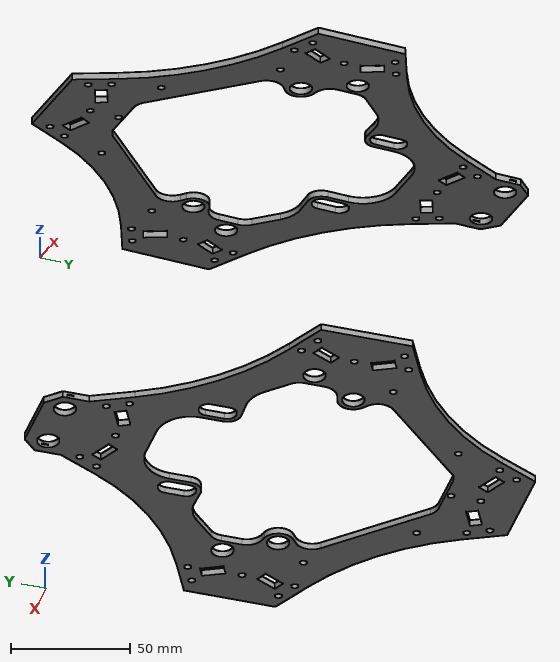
import cadquery as cq
import math

thickness = 3.0
arm_reach = 98.0
arm_half_width = 20.1
flank_slope = 0.5
flank_length = 17.3
plate_length = 214
tab_reach = plate_length - arm_reach
tab_chamfer = 6.5

screw_diameter = 3.0
arm_screws = [(0, 80.2), (19.0, 90.0), (-19.0, 90.0), (23.5, 81.3), (-23.5, 81.3)]
strap_slot_length = 10.0
strap_slot_width = 5.1
strap_slot_x = 12.6
strap_slot_y = 81.0
strap_slot_tilt = math.degrees(math.atan(flank_slope))

center_screw = (0, -67.2)
side_screws = [(29.7, -61.2), (64.2, -22.0)]
port_diameter = 9.5
boss_hole = (53.7, -7.7)
tab_port = (12.0, 106.1)
ports = [tab_port, (65.7, 13.0), boss_hole]
slit_width = 2.8
slit_height = 0.5
long_slot_x = 29.0
long_slot_y = 44.3
long_slot_length = 16.5
long_slot_width = 8.1
slot_end_y = long_slot_y - (long_slot_length - long_slot_width) / 2

opening_top = 64.6
opening_bottom = -64.8
opening_half_width = 59.3
shoulder_top = 34.2
side_bottom_y = 6.6
lower_round_y = -20.5
diagonal_offset = 78.0
large_round = 15.0
small_round = 7.5
boss_radius = 6.8
slot_wall_radius = 6.2


def mirrored(points):
    """Points together with their mirror images across the YZ plane."""
    return points + [(-x, y) for x, y in points]


def diagonal_x(y, radius):
    """X of a round at height y that touches the slanted side from inside."""
    return diagonal_offset - radius * math.sqrt(2) - abs(y)


def quarter_turns(solid):
    """The solid repeated at all four arms."""
    copies = solid
    for turn in (1, 2, 3):
        copies = copies.union(solid.rotate((0, 0, 0), (0, 0, 1), 90 * turn))
    return copies


def corner_cutout():
    """Material removed between the +X and +Y arms."""
    flank_x = arm_half_width + flank_slope * flank_length
    flank_y = arm_reach - flank_length
    half_angle = math.pi / 4 - math.atan(flank_slope)
    half_chord = (flank_y - flank_x) / math.sqrt(2)
    sagitta = half_chord * math.tan(half_angle / 2)
    arc_mid = (flank_x + flank_y) / 2 - sagitta / math.sqrt(2)
    return (
        cq.Workplane("XY")
        .moveTo(arm_half_width, arm_reach)
        .lineTo(flank_x, flank_y)
        .threePointArc((arc_mid, arc_mid), (flank_y, flank_x))
        .lineTo(arm_reach, arm_half_width)
        .lineTo(arm_reach, arm_reach)
        .close()
        .extrude(thickness)
    )


def plate():
    square = cq.Workplane("XY").rect(2 * arm_reach, 2 * arm_reach).extrude(thickness)
    arms = square.cut(quarter_turns(corner_cutout()))
    tab_root = arm_reach - arm_half_width
    tab = (
        cq.Workplane("XY")
        .rect(2 * arm_half_width, tab_reach - tab_root)
        .extrude(thickness)
        .edges("|Z and >Y")
        .chamfer(tab_chamfer)
        .translate((0, (tab_reach + tab_root) / 2, 0))
    )
    return arms.union(tab)


def tangent_points(first, second):
    """Ends of the straight line leaving one round and entering the next.

    A round is (x, y, signed radius); a positive radius turns clockwise.
    """
    x1, y1, r1 = first
    x2, y2, r2 = second
    distance = math.hypot(x2 - x1, y2 - y1)
    heading = math.atan2(y2 - y1, x2 - x1)
    normal = heading + math.acos((r1 - r2) / distance)
    nx, ny = math.cos(normal), math.sin(normal)
    return (x1 + r1 * nx, y1 + r1 * ny), (x2 + r2 * nx, y2 + r2 * ny)


def opening():
    top_x = long_slot_x - slot_wall_radius - large_round
    shoulder_y = shoulder_top - large_round
    side_x = opening_half_width - small_round
    side_top_y = diagonal_offset - small_round * math.sqrt(2) - side_x
    bottom_y = opening_bottom + small_round
    boss_x, boss_y = boss_hole
    right = [
        (top_x, opening_top - large_round, large_round),
        (long_slot_x, slot_end_y, -slot_wall_radius),
        (diagonal_x(shoulder_y, large_round), shoulder_y, large_round),
        (side_x, side_top_y, small_round),
        (side_x, side_bottom_y, small_round),
        (boss_x, boss_y, -boss_radius),
        (diagonal_x(lower_round_y, small_round), lower_round_y, small_round),
        (diagonal_x(bottom_y, small_round), bottom_y, small_round),
    ]
    rounds = right + [(-x, y, r) for x, y, r in reversed(right)]
    lines = [tangent_points(a, b) for a, b in zip(rounds, rounds[1:] + rounds[:1])]

    path = cq.Workplane("XY").moveTo(*lines[-1][1])
    for (x, y, radius), entry, exit_line in zip(rounds, lines[-1:] + lines[:-1], lines):
        arc_start, arc_end = entry[1], exit_line[0]
        bx = (arc_start[0] + arc_end[0]) / 2 - x
        by = (arc_start[1] + arc_end[1]) / 2 - y
        reach = abs(radius) / math.hypot(bx, by)
        path = path.threePointArc((x + bx * reach, y + by * reach), arc_end).lineTo(*exit_line[1])
    return path.close().extrude(thickness)


def round_holes(points, diameter):
    return cq.Workplane("XY").pushPoints(points).circle(diameter / 2).extrude(thickness)


def arm_holes():
    holes = round_holes(arm_screws, screw_diameter)
    for side in (1, -1):
        slot = (
            cq.Workplane("XY")
            .rect(strap_slot_length, strap_slot_width)
            .extrude(thickness)
            .rotate((0, 0, 0), (0, 0, 1), side * strap_slot_tilt)
            .translate((side * strap_slot_x, strap_slot_y, 0))
        )
        holes = holes.union(slot)
    return holes


def long_slots():
    return (
        cq.Workplane("XY")
        .pushPoints(mirrored([(long_slot_x, long_slot_y)]))
        .slot2D(long_slot_length, long_slot_width, 90)
        .extrude(thickness)
    )


def tab_slits():
    port_x, port_y = tab_port
    slit_length = arm_half_width - port_x
    slit_x = (arm_half_width + port_x) / 2
    return (
        cq.Workplane("XY", origin=(0, 0, thickness / 2))
        .pushPoints(mirrored([(slit_x, port_y)]))
        .box(slit_length, slit_width, slit_height)
    )


result = (
    plate()
    .cut(opening())
    .cut(quarter_turns(arm_holes()))
    .cut(round_holes([center_screw] + mirrored(side_screws), screw_diameter))
    .cut(round_holes(mirrored(ports), port_diameter))
    .cut(long_slots())
    .cut(tab_slits())
)